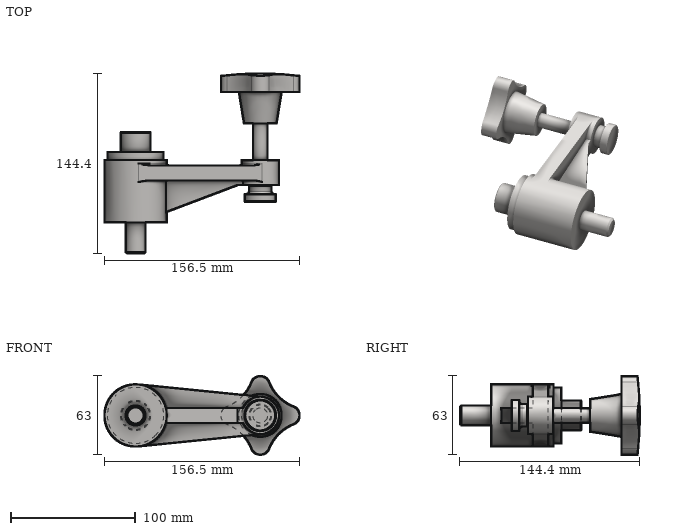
import cadquery as cq
import math


hub_radius = 25.0
hub_length = 50.0
pin_radius = 8.0
pin_length = 25.0
pin_chamfer = 1.4
flange_radius = 22.5
flange_thickness = 6.3
rear_boss_radius = 12.0
rear_boss_length = 16.1
rear_boss_chamfer = 0.8

overall_length = 156.5
knob_diameter = 63.0
knob_radius = knob_diameter / 2
screw_x = overall_length - hub_radius - knob_radius
lobe_radius = 7.7
lobe_count = 4
valley_centre = 39.1
knob_base_y = 104.3
knob_top_y = 119.4
knob_edge_drop = 2.0
cone_base_y = 79.3
cone_large_radius = 17.2
cone_small_radius = 13.1
shaft_radius = 6.0
neck_radius = 9.0
neck_flare = 2.0
neck_chamfer = 0.8
foot_radius = 12.5
foot_front_y = 16.5
foot_back_y = 22.7
foot_chamfer = 0.5

eye_radius = 15.0
eye_front_y = 29.7
eye_back_y = 49.7
web_front_y = 33.5
web_back_y = 45.7
web_fillet = 1.3
rib_width = 11.9
rib_root_y = 8.3
rib_end_x = 81.7


def turned(profile, axis_x):
    """Revolve a closed (radius, y) sketch about the line X = axis_x, Z = 0."""
    return profile.close().revolve(360, (0, 0, 0), (0, 1, 0)).translate((axis_x, 0, 0))


def cylinder(radius, start_y, end_y, axis_x):
    disc = cq.Workplane("XZ", origin=(axis_x, start_y, 0)).circle(radius)
    return disc.extrude(start_y - end_y)


def hub():
    body = cylinder(hub_radius, 0, hub_length, 0)
    pin = cylinder(pin_radius, -pin_length, 0, 0).faces("<Y").chamfer(pin_chamfer)
    flange_back_y = hub_length + flange_thickness
    flange = cylinder(flange_radius, hub_length, flange_back_y, 0)
    boss = cylinder(rear_boss_radius, flange_back_y, flange_back_y + rear_boss_length, 0)
    boss = boss.faces(">Y").chamfer(rear_boss_chamfer)
    return body.union(pin).union(flange).union(boss)


def arm_prism(start_y, end_y):
    """Tapered plate whose sides are the common tangents of the hub and eye circles."""
    lean = (hub_radius - eye_radius) / screw_x
    rise = math.sqrt(1 - lean**2)
    hub_tangent = (hub_radius * lean, hub_radius * rise)
    eye_tangent = (screw_x + eye_radius * lean, eye_radius * rise)
    outline = (
        cq.Workplane("XZ", origin=(0, start_y, 0))
        .moveTo(*hub_tangent)
        .lineTo(*eye_tangent)
        .lineTo(eye_tangent[0], -eye_tangent[1])
        .lineTo(hub_tangent[0], -hub_tangent[1])
        .close()
    )
    return outline.extrude(start_y - end_y)


def root_fillet(radius, axis_x, face_y, outward):
    """Concave ring between a cylinder and a web face; outward is the face's Y sign."""
    tip_y = face_y + outward * web_fillet
    middle = web_fillet * (1 - math.sqrt(0.5))
    profile = (
        cq.Workplane("XY")
        .moveTo(0, face_y)
        .lineTo(radius + web_fillet, face_y)
        .threePointArc((radius + middle, face_y + outward * middle), (radius, tip_y))
        .lineTo(0, tip_y)
    )
    return turned(profile, axis_x)


def arm():
    body = arm_prism(web_front_y, web_back_y)
    body = body.union(cylinder(eye_radius, eye_front_y, eye_back_y, screw_x))
    arm_envelope = arm_prism(0, hub_length)
    for radius, axis_x in ((hub_radius, 0), (eye_radius, screw_x)):
        for face_y, outward in ((web_front_y, -1), (web_back_y, 1)):
            fillet = root_fillet(radius, axis_x, face_y, outward)
            body = body.union(fillet.intersect(arm_envelope))
    return body.union(rib())


def rib():
    """Stiffener sloping from the hub up to the front face of the eye."""
    start_x = hub_radius / 2
    slope = (eye_front_y - rib_root_y) / (rib_end_x - hub_radius)
    return (
        cq.Workplane("XY")
        .moveTo(start_x, rib_root_y - slope * (hub_radius - start_x))
        .lineTo(rib_end_x, eye_front_y)
        .lineTo(screw_x, eye_front_y)
        .lineTo(screw_x, web_back_y)
        .lineTo(start_x, web_back_y)
        .close()
        .extrude(rib_width / 2, both=True)
    )


def knob():
    """Star of round lobes joined by tangent valley arcs, with a domed back face."""
    lobe_centre = knob_radius - lobe_radius
    centre_gap = math.hypot(valley_centre - lobe_centre, valley_centre)
    join_x = lobe_centre + lobe_radius * (valley_centre - lobe_centre) / centre_gap
    join_z = lobe_radius * valley_centre / centre_gap
    valley_radius = centre_gap - lobe_radius
    valley_middle = valley_centre - valley_radius * math.sqrt(0.5)

    def turn(x, z, index):
        angle = index * 2 * math.pi / lobe_count
        cosine = math.cos(angle)
        sine = math.sin(angle)
        return (x * cosine - z * sine, x * sine + z * cosine)

    star = cq.Workplane("XZ", origin=(screw_x, knob_base_y, 0)).moveTo(join_x, -join_z)
    for index in range(lobe_count):
        star = star.threePointArc(turn(knob_radius, 0, index), turn(join_x, join_z, index))
        star = star.threePointArc(
            turn(valley_middle, valley_middle, index), turn(join_x, -join_z, index + 1)
        )
    star = star.close().extrude(knob_base_y - knob_top_y)
    dome_radius = (knob_radius**2 + knob_edge_drop**2) / (2 * knob_edge_drop)
    dome = cq.Workplane("XY").sphere(dome_radius)
    return star.intersect(dome.translate((screw_x, knob_top_y - dome_radius, 0)))


def screw():
    cone = turned(
        cq.Workplane("XY")
        .moveTo(0, cone_base_y)
        .lineTo(cone_small_radius, cone_base_y)
        .lineTo(cone_large_radius, knob_base_y)
        .lineTo(0, knob_base_y),
        screw_x,
    )
    shaft = cylinder(shaft_radius, eye_back_y, cone_base_y, screw_x)
    foot = cylinder(foot_radius, foot_front_y, foot_back_y, screw_x)
    foot = foot.faces("<Y or >Y").chamfer(foot_chamfer)
    flare_middle = neck_flare * (1 - math.sqrt(0.5))
    neck = turned(
        cq.Workplane("XY")
        .moveTo(0, foot_back_y)
        .lineTo(neck_radius + neck_flare, foot_back_y)
        .threePointArc(
            (neck_radius + flare_middle, foot_back_y + flare_middle),
            (neck_radius, foot_back_y + neck_flare),
        )
        .lineTo(neck_radius, eye_front_y - neck_chamfer)
        .lineTo(neck_radius - neck_chamfer, eye_front_y)
        .lineTo(0, eye_front_y),
        screw_x,
    )
    return knob().union(cone).union(shaft).union(neck).union(foot)


result = hub().union(arm()).union(screw())